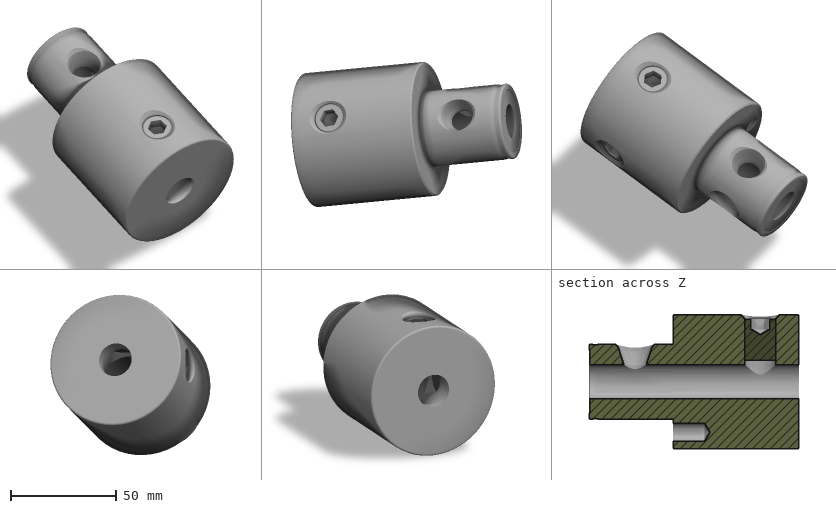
import cadquery as cq
import math

length = 100.0
shoulder_x = 40.0
body_radius = 64 / 2
front_chamfer = 0.7
rear_fillet = 1.0
shank_radius = 36 / 2
bore_radius = 16 / 2
bore_chamfer = 0.2

rim_fillet = 1.0
end_recess_radius = 15.3
end_recess_depth = 0.3

groove_radius = 17.6
groove_middle_x = 3.1
groove_half_width = 2.2
relief_start_x = 38.5
relief_taper_length = 0.8
relief_radius = 35.6 / 2
relief_fillet = 37 / 2 - relief_radius
relief_depth = 0.1
relief_floor_radius = 19.3
relief_outer_radius = 20.0

station_angles = (0, -90)

seat_x = 22.0
seat_mouth_radius = 9.5
seat_edge_radius = 7.9
seat_bottom_radius = 5.2

locating_radius = 8.2 / 2
locating_y = -24.0
locating_depth = 15.0
drill_half_angle = math.radians(59)

screw_x = 81.5
screw_radius = 14.4 / 2
screw_hole_mouth_radius = 9.2
screw_top_z = 29.9
screw_bottom_z = 10.0
screw_chamfer = 0.6
socket_flats = 8.0
socket_depth = 5.0
socket_turn = 5.0


def cone_depth(radius):
    """Depth of a drill point of the given radius."""
    return radius / math.tan(drill_half_angle)


def revolved_about_z(profile, x):
    """Turn an (r, z) outline about a vertical axis at the given x."""
    turned = cq.Workplane("XZ").polyline(profile).close().revolve(360, (0, 0, 0), (0, 1, 0))
    return turned.translate((x, 0, 0))


def make_turned_body():
    """Housing blank with its bore, grooves and rounded or chamfered edges."""
    fillet_middle = relief_fillet * (1 - math.sqrt(0.5))
    relief_floor_x = shoulder_x + relief_depth
    return (
        cq.Workplane("XY")
        .moveTo(end_recess_depth + bore_chamfer, bore_radius)
        .lineTo(end_recess_depth, bore_radius + bore_chamfer)
        .lineTo(end_recess_depth, end_recess_radius - end_recess_depth)
        .lineTo(0, end_recess_radius)
        .lineTo(0, shank_radius - rim_fillet)
        .radiusArc((rim_fillet, shank_radius), rim_fillet)
        .lineTo(groove_middle_x, groove_radius)
        .lineTo(groove_middle_x + groove_half_width, shank_radius)
        .lineTo(relief_start_x, shank_radius)
        .lineTo(relief_start_x + relief_taper_length, relief_radius)
        .lineTo(relief_floor_x - relief_fillet, relief_radius)
        .threePointArc(
            (relief_floor_x - fillet_middle, relief_radius + fillet_middle),
            (relief_floor_x, relief_radius + relief_fillet),
        )
        .lineTo(relief_floor_x, relief_floor_radius)
        .lineTo(shoulder_x, relief_outer_radius)
        .lineTo(shoulder_x, body_radius - front_chamfer)
        .lineTo(shoulder_x + front_chamfer, body_radius)
        .lineTo(length - rear_fillet, body_radius)
        .radiusArc((length, body_radius - rear_fillet), rear_fillet)
        .lineTo(length, bore_radius)
        .close()
        .revolve(360, (0, 0, 0), (1, 0, 0))
    )


def make_seat_cut():
    """Steep cone down to the bore with a 45 degree chamfer at its mouth."""
    edge_z = shank_radius - (seat_mouth_radius - seat_edge_radius)
    return revolved_about_z(
        [
            (0, 0),
            (seat_bottom_radius, 0),
            (seat_bottom_radius, bore_radius),
            (seat_edge_radius, edge_z),
            (seat_mouth_radius, shank_radius),
            (0, shank_radius),
        ],
        seat_x,
    )


def make_locating_hole():
    """Blind drilled hole, parallel to X, with a conical bottom."""
    profile = [
        (shoulder_x, 0),
        (shoulder_x, locating_radius),
        (shoulder_x + locating_depth, locating_radius),
        (shoulder_x + locating_depth + cone_depth(locating_radius), 0),
    ]
    hole = cq.Workplane("XY").polyline(profile).close().revolve(360, (0, 0, 0), (1, 0, 0))
    return hole.translate((0, locating_y, 0))


def make_screw_hole():
    """Radial hole into the bore with a 45 degree chamfer at its mouth."""
    chamfer_z = body_radius - (screw_hole_mouth_radius - screw_radius)
    return revolved_about_z(
        [
            (0, 0),
            (screw_radius, 0),
            (screw_radius, chamfer_z),
            (screw_hole_mouth_radius, body_radius),
            (0, body_radius),
        ],
        screw_x,
    )


def at_station(shape, angle):
    """Turn a shape built about +Z to a clamping station."""
    return shape.rotate((0, 0, 0), (1, 0, 0), angle)


def make_housing():
    body = make_turned_body().cut(make_locating_hole())
    for angle in station_angles:
        body = body.cut(at_station(make_seat_cut(), angle))
        body = body.cut(at_station(make_screw_hole(), angle))
    return body


def make_screw():
    """Headless screw with a hexagon socket ending in a drill point."""
    blank = (
        cq.Workplane("XY", origin=(screw_x, 0, screw_bottom_z))
        .circle(screw_radius)
        .extrude(screw_top_z - screw_bottom_z)
        .faces(">Z")
        .chamfer(screw_chamfer)
    )
    floor_z = screw_top_z - socket_depth
    hexagon = (
        cq.Workplane("XY")
        .polygon(6, socket_flats / math.cos(math.pi / 6))
        .extrude(socket_depth)
        .rotate((0, 0, 0), (0, 0, 1), socket_turn)
        .translate((screw_x, 0, floor_z))
    )
    point_radius = socket_flats / 2
    drill_point = revolved_about_z(
        [(0, floor_z), (point_radius, floor_z), (0, floor_z - cone_depth(point_radius))],
        screw_x,
    )
    return blank.cut(hexagon).cut(drill_point)


housing = make_housing()
screws = [at_station(make_screw(), angle).solids().val() for angle in station_angles]
result = cq.Compound.makeCompound([housing.solids().val(), *screws])